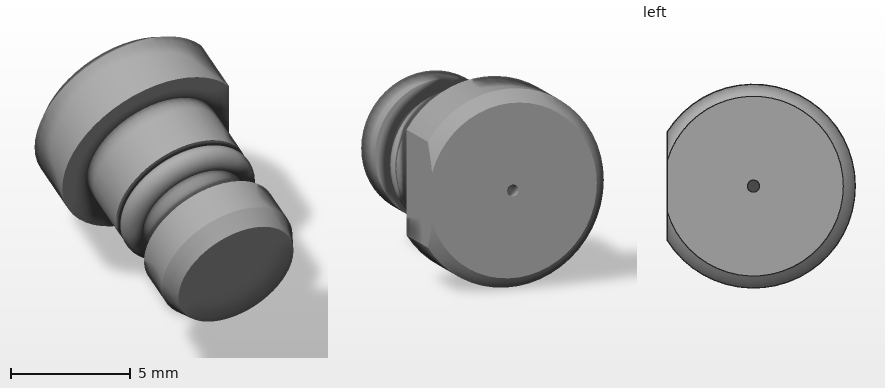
import cadquery as cq
import math

length = 10.5
head_diameter = 8.5
head_length = 3.0
head_chamfer = 0.5
flat_offset = 3.6

body_diameter = 6.15
groove_diameter = 4.7
groove_start = 5.6
groove_width = 2.5
groove_end = groove_start + groove_width

tip_chamfer_length = 0.8
tip_chamfer_angle = 25.0

ring_outer_diameter = 6.2
ring_section_diameter = 1.1

hole_diameter = 0.5
hole_depth = 1.0


def turned_body():
    """Revolve the stepped half profile of head, shank, groove and tip."""
    head_radius = head_diameter / 2
    body_radius = body_diameter / 2
    groove_radius = groove_diameter / 2
    tip_chamfer_depth = tip_chamfer_length * math.tan(math.radians(tip_chamfer_angle))
    profile = [
        (0, 0),
        (0, head_radius - head_chamfer),
        (head_chamfer, head_radius),
        (head_length, head_radius),
        (head_length, body_radius),
        (groove_start, body_radius),
        (groove_start, groove_radius),
        (groove_end, groove_radius),
        (groove_end, body_radius),
        (length - tip_chamfer_length, body_radius),
        (length, body_radius - tip_chamfer_depth),
        (length, 0),
    ]
    return cq.Workplane("XY").polyline(profile).close().revolve(360, (0, 0), (1, 0))


def sealing_ring():
    """O-ring seated in the groove against the shank shoulder."""
    section_radius = ring_section_diameter / 2
    center_x = groove_start + section_radius
    center_radius = ring_outer_diameter / 2 - section_radius
    section = cq.Workplane("XY").center(center_x, center_radius).circle(section_radius)
    return section.revolve(360, (0, -center_radius), (1, -center_radius))


def head_flat_cutter():
    """Block that removes the +Y side of the head."""
    block = cq.Workplane("XY").box(head_length, head_diameter, head_diameter, centered=(False, False, True))
    return block.translate((0, flat_offset, 0))


def center_hole():
    """Blind hole in the middle of the head face."""
    return cq.Workplane("YZ").circle(hole_diameter / 2).extrude(hole_depth)


result = turned_body().union(sealing_ring()).cut(head_flat_cutter()).cut(center_hole())